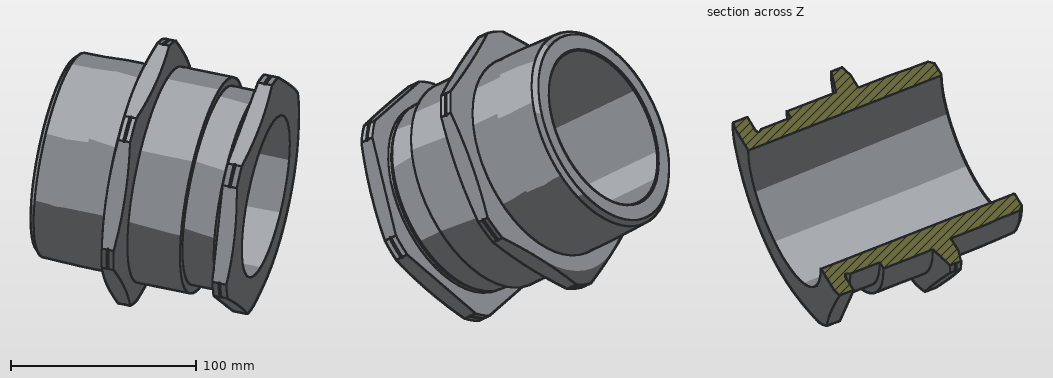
import cadquery as cq
import math

total_length = 116.5

bore_radius = 44.6
bore_chamfer = 0.6

thread_radius = 57.15
thread_taper = 1 / 32
thread_plain_start = 26.8
entry_chamfer = 2.6
taper_length = thread_plain_start - entry_chamfer
thread_end_radius = thread_radius - thread_taper * taper_length

body_radius = 59.6
body_end = 86.1
sleeve_radius = 54.9
sleeve_chamfer_length = 2.0
sleeve_chamfer_depth = 1.4
relief_length = 1.1

bevel_slope = math.tan(math.radians(15))
groove_width = 1.0
groove_depth = 0.25

flange_across_flats = 133.4
flange_corner_radius = 73.335
flange_start = 44.2
flange_face_radius = 66.3
flange_corner_width = 6.7

nut_across_flats = 123.2
nut_corner_radius = 67.9
nut_start = 106.8
nut_face_radius = 61.3
nut_turn = 10.2

flange_corner_start = flange_start + (flange_corner_radius - flange_face_radius) * bevel_slope
flange_corner_end = flange_corner_start + flange_corner_width
flange_end = flange_corner_end + (flange_corner_radius - body_radius) * bevel_slope
nut_corner_end = total_length - (nut_corner_radius - nut_face_radius) * bevel_slope
sleeve_end = nut_start - relief_length


def revolve(outline):
    """Revolve an (x, radius) outline about the X axis."""
    return cq.Workplane("XZ").polyline(outline).close().revolve(360, (0, 0, 0), (1, 0, 0))


def groove_points(corner_start, corner_end, corner_radius):
    """Corner land with a V groove at its middle."""
    middle = (corner_start + corner_end) / 2
    return [
        (corner_start, corner_radius),
        (middle - groove_width / 2, corner_radius),
        (middle, corner_radius - groove_depth),
        (middle + groove_width / 2, corner_radius),
        (corner_end, corner_radius),
    ]


def hexagon(start, end, across_flats, turn):
    """Hexagonal prism along X with two corners on the Y axis before it is turned about X."""
    across_corners = across_flats / math.cos(math.pi / 6)
    prism = cq.Workplane("YZ", origin=(start, 0, 0)).polygon(6, across_corners).extrude(end - start)
    return prism.rotate((0, 0, 0), (1, 0, 0), turn)


def make_body():
    sleeve_end_radius = sleeve_radius - sleeve_chamfer_depth
    return revolve([
        (0, 0),
        (0, thread_end_radius - entry_chamfer),
        (entry_chamfer, thread_end_radius),
        (thread_plain_start, thread_radius),
        (flange_start, thread_radius),
        (flange_start, body_radius),
        (body_end, body_radius),
        (body_end, sleeve_radius),
        (sleeve_end - sleeve_chamfer_length, sleeve_radius),
        (sleeve_end, sleeve_end_radius),
        (nut_start, sleeve_end_radius + relief_length),
        (total_length, sleeve_end_radius + relief_length),
        (total_length, 0),
    ])


def make_flange():
    turned = revolve([
        (flange_start, 0),
        (flange_start, flange_face_radius),
        *groove_points(flange_corner_start, flange_corner_end, flange_corner_radius),
        (flange_end, body_radius),
        (flange_end, 0),
    ])
    return turned.intersect(hexagon(flange_start, flange_end, flange_across_flats, 0))


def make_nut():
    turned = revolve([
        (nut_start, 0),
        *groove_points(nut_start, nut_corner_end, nut_corner_radius),
        (total_length, nut_face_radius),
        (total_length, 0),
    ])
    return turned.intersect(hexagon(nut_start, total_length, nut_across_flats, nut_turn))


def make_bore():
    return revolve([
        (0, 0),
        (0, bore_radius + bore_chamfer),
        (bore_chamfer, bore_radius),
        (total_length, bore_radius),
        (total_length, 0),
    ])


result = make_body().union(make_flange()).union(make_nut()).cut(make_bore())